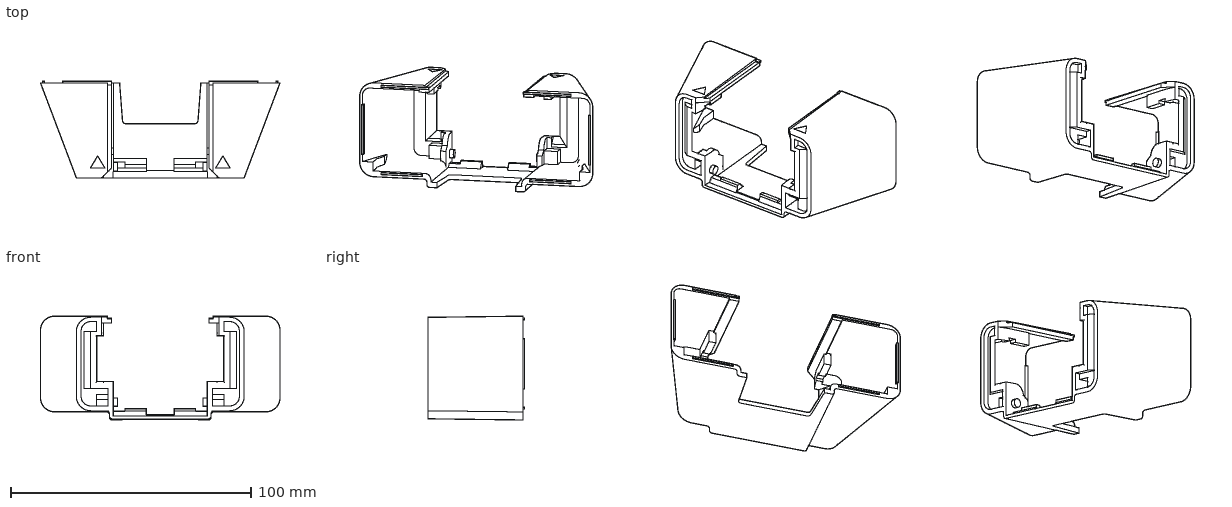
import cadquery as cq


length = 99.9
depth = 40.4
height = 43.3
tongue_length = 0.7
body_depth = depth - tongue_length

front_half_width = 35.0
back_half_width = length / 2
draft = 0.5
side_wall = 1.2
corner_radius = 6.0
inner_radius = 3.2
wing_bottom = 3.9
wing_top = height - draft
wing_floor = 5.9
wing_ceiling = 41.1

roof_edge = 22.0
lip_edge = 20.3
lip_top = 42.1
lip_bottom = 40.4
lip_root = 24.5
roof_chamfer = 4.2

plate_edge = 19.5
plate_top = 2.3
front_plate_top = 1.8
plate_step = 3.2
floor_edge_radius = 2.5
step_outer = 21.2
step_radius = 1.1
base_radius = 1.2

panel_thickness = 3.9
upper_jamb = 24.5
middle_jamb = 26.4
upper_jamb_bottom = 35.1
sill_top = 16.1

recess_depth = 2.4
rim_width = 2.0
recess_upper_edge = 26.6
recess_upper_bottom = 37.0
recess_lower_edge = 21.8
recess_lower_top = 13.1
rail_front_edge = 29.0
rail_back_edge = 31.9


def tapered(draw_section):
    """Solid between a section at the front edge and a wider one at the joint edge."""
    front = draw_section(cq.Workplane("XZ"), front_half_width, 0).wires().val()
    back_plane = cq.Workplane("XZ", origin=(0, body_depth, 0))
    back = draw_section(back_plane, back_half_width, draft).wires().val()
    return cq.Workplane(cq.Solid.makeLoft([front, back], True))


def sheet_section(plane, half_width, growth):
    """Bent sheet: base plate, step, floor, side wall and roof of the right half."""
    bottom = wing_bottom - growth
    top = wing_top + growth
    base = draft - growth
    inner = half_width - side_wall
    bend = half_width - corner_radius
    inner_bend = inner - inner_radius
    return (
        plane.moveTo(0, base)
        .lineTo(step_outer - base_radius, base)
        .radiusArc((step_outer, base + base_radius), -base_radius)
        .lineTo(step_outer, bottom - step_radius)
        .radiusArc((step_outer + step_radius, bottom), step_radius)
        .lineTo(bend, bottom)
        .radiusArc((half_width, bottom + corner_radius), -corner_radius)
        .lineTo(half_width, top - corner_radius)
        .radiusArc((bend, top), -corner_radius)
        .lineTo(roof_edge, top)
        .lineTo(roof_edge, lip_top)
        .lineTo(lip_edge, lip_top)
        .lineTo(lip_edge, lip_bottom)
        .lineTo(lip_root, lip_bottom)
        .lineTo(lip_root, wing_ceiling)
        .lineTo(inner_bend, wing_ceiling)
        .radiusArc((inner, wing_ceiling - inner_radius), inner_radius)
        .lineTo(inner, wing_floor + inner_radius)
        .radiusArc((inner_bend, wing_floor), inner_radius)
        .lineTo(plate_edge + floor_edge_radius, wing_floor)
        .radiusArc((plate_edge, wing_floor - floor_edge_radius), -floor_edge_radius)
        .lineTo(plate_edge, plate_top)
        .lineTo(0, plate_top)
        .close()
    )


def sleeve_section(plane, edge, bottom, top, radius):
    """Rectangle from the base plate edge to a side wall face, with both wall corners rounded."""
    return (
        plane.moveTo(plate_edge, bottom)
        .lineTo(edge - radius, bottom)
        .radiusArc((edge, bottom + radius), -radius)
        .lineTo(edge, top - radius)
        .radiusArc((edge - radius, top), -radius)
        .lineTo(plate_edge, top)
        .close()
    )


def sleeve_middle(plane, half_width, growth):
    """Section that ends halfway through the sheet thickness."""
    inset = side_wall / 2
    return sleeve_section(
        plane, half_width - inset, wing_bottom + inset, wing_top - inset, corner_radius - inset
    )


def block(x_range, y_range, z_range):
    """Box given by its limits along X, Y and Z."""
    (x0, x1), (y0, y1), (z0, z1) = x_range, y_range, z_range
    return cq.Workplane(cq.Solid.makeBox(x1 - x0, y1 - y0, z1 - z0, cq.Vector(x0, y0, z0)))


def front_outline(points, thickness):
    """Outline in X and Z, extruded back from the front edge."""
    return cq.Workplane("XZ").polyline(points).close().extrude(-thickness)


def plan_outline(points, bottom, top):
    """Outline in X and Y, extruded between two heights."""
    return cq.Workplane("XY", origin=(0, 0, bottom)).polyline(points).close().extrude(top - bottom)


def side_outline(points, x_start, x_end):
    """Outline in Y and Z, extruded between two places along X."""
    plane = cq.Workplane("YZ", origin=(x_start, 0, 0))
    return plane.polyline(points).close().extrude(x_end - x_start)


def front_panel():
    """Panel with a recess that leaves a rail along its middle."""
    far = back_half_width
    panel = front_outline(
        [
            (far, wing_bottom), (plate_edge, wing_bottom), (plate_edge, sill_top),
            (middle_jamb, sill_top), (middle_jamb, upper_jamb_bottom),
            (upper_jamb, upper_jamb_bottom), (upper_jamb, wing_top), (far, wing_top),
        ],
        panel_thickness,
    ).intersect(tapered(sleeve_middle))
    recess = front_outline(
        [
            (far, wing_floor), (recess_lower_edge, wing_floor),
            (recess_lower_edge, recess_lower_top), (rail_front_edge, recess_lower_top),
            (rail_front_edge, recess_upper_bottom), (recess_upper_edge, recess_upper_bottom),
            (recess_upper_edge, wing_ceiling), (far, wing_ceiling),
        ],
        recess_depth,
    )
    recess_limit = sleeve_section(
        cq.Workplane("XZ"),
        front_half_width - rim_width,
        wing_floor,
        wing_ceiling,
        corner_radius - rim_width,
    ).extrude(-recess_depth)
    bulge = 0.55
    rail_round = (
        cq.Workplane("XY", origin=(0, 0, recess_lower_top))
        .moveTo(rail_front_edge, 0)
        .threePointArc(
            (
                rail_front_edge + bulge * (rail_back_edge - rail_front_edge),
                (1 - bulge) * recess_depth,
            ),
            (rail_back_edge, recess_depth),
        )
        .lineTo(rail_front_edge, recess_depth)
        .close()
        .extrude(recess_upper_bottom - recess_lower_top)
    )
    return panel.cut(recess.intersect(recess_limit).cut(rail_round)).cut(window_flare())


def window_flare():
    """Bevels at 45 degrees that thin the panel behind its window, along the rail and the sill."""
    sill_bevel_start = 23.6
    far_edge = middle_jamb + panel_thickness
    sill_foot = sill_top - panel_thickness
    rail_bevel = plan_outline(
        [(middle_jamb, 0), (far_edge, panel_thickness), (middle_jamb, panel_thickness)],
        sill_foot,
        upper_jamb_bottom,
    )
    sill_bevel = side_outline(
        [(0, sill_top), (panel_thickness, sill_top), (panel_thickness, sill_foot)],
        sill_bevel_start,
        far_edge,
    )
    below_sill = block((middle_jamb, far_edge), (0, panel_thickness), (sill_foot, sill_top))
    corner_bevel = rail_bevel.intersect(below_sill).intersect(sill_bevel)
    rail_side = rail_bevel.cut(below_sill)
    sill_side = sill_bevel.cut(below_sill)
    return rail_side.union(sill_side).union(corner_bevel)


def upper_jamb_guides():
    """Slant-sided guide at the upper jamb, then a shallower bridge and a second guide."""
    guide_end = 5.6
    guide_edge = 23.6
    bridge_bottom = 36.4
    second_start = 9.2
    second_end = 17.0
    first = plan_outline(
        [
            (recess_upper_edge, recess_depth), (recess_upper_edge, guide_end),
            (guide_edge, guide_end), (upper_jamb, 0),
        ],
        upper_jamb_bottom,
        wing_ceiling,
    )
    x_range = (guide_edge, recess_upper_edge)
    bridge = block(x_range, (guide_end, second_start), (bridge_bottom, wing_ceiling))
    second = block(x_range, (second_start, second_end), (upper_jamb_bottom, wing_ceiling))
    return first.union(bridge).union(second)


def hinge_cheek():
    """Upright wall beside the base plate, with a stepped rear edge and a round pin."""
    shoulder = 6.0
    arc_foot = (9.9, 11.9)
    arc_middle = (8.6, 14.6)
    rear = 12.6
    rear_top = 10.0
    cheek = (
        cq.Workplane("YZ", origin=(plate_edge, 0, 0))
        .moveTo(0, plate_top)
        .lineTo(0, sill_top)
        .lineTo(shoulder, sill_top)
        .threePointArc(arc_middle, arc_foot)
        .lineTo(rear, rear_top)
        .lineTo(rear, plate_top)
        .close()
        .extrude(recess_lower_edge - plate_edge)
    )
    step_clearance = block((step_outer, length), (0, rear), (0, wing_bottom))
    pin_y = 4.7
    pin_z = 7.5
    pin_radius = 1.8
    pin_length = 1.7
    pin = (
        cq.Workplane("YZ", origin=(plate_edge, pin_y, pin_z))
        .circle(pin_radius)
        .extrude(-pin_length)
    )
    return cheek.cut(step_clearance).union(pin)


def cheek_relief():
    """Thin wedge that draws the front of the cheek back from the base plate."""
    setback = 0.3
    wedge = [(plate_edge, 0), (plate_edge + setback, 0), (plate_edge, panel_thickness)]
    return plan_outline(wedge, front_plate_top, sill_top)


def latch_housing():
    """Block behind the lower recess."""
    outer_edge = 27.5
    rear = 9.2
    housing_top = 11.5
    x_range = (recess_lower_edge, outer_edge)
    return block(x_range, (recess_depth, rear), (wing_floor, housing_top))


def latch_pocket():
    """Pocket with a flat floor and a half-round bar across its rear wall."""
    rear = 8.0
    bar_bottom = 8.6
    pocket_top = 10.7
    bar_radius = (pocket_top - bar_bottom) / 2
    return (
        cq.Workplane("YZ", origin=(recess_lower_edge, 0, 0))
        .moveTo(recess_depth, wing_floor)
        .lineTo(rear, wing_floor)
        .lineTo(rear, bar_bottom)
        .threePointArc((rear - bar_radius, bar_bottom + bar_radius), (rear, pocket_top))
        .lineTo(recess_depth, pocket_top)
        .close()
        .extrude(recess_upper_edge - recess_lower_edge)
    )


def side_ledge():
    """Ledge inside the side wall, with a waist along its inner edge."""
    ledge_top = 9.7
    ledge_front = 22.8
    inner_rear = 44.2
    waist_start = (44.1, 32.7)
    waist_end = (42.3, 27.2)
    ledge = plan_outline(
        [
            (inner_rear, body_depth), waist_start, waist_end, (waist_end[0], ledge_front),
            (back_half_width, ledge_front), (back_half_width, body_depth),
        ],
        wing_bottom,
        ledge_top,
    )
    return ledge.intersect(tapered(sleeve_middle))


def plate_latch():
    """Raised stop on the base plate with a ridge that slopes down to the rear."""
    inner_end = 5.8
    ridge_end = 14.8
    stop_foot = 2.8
    stop_rear = 6.7
    ridge_front = 4.1
    ridge_peak = 5.7
    rear = 8.1
    stop_top = 3.7
    ridge_top = 4.8
    stop = side_outline(
        [
            (stop_foot, front_plate_top), (ridge_front, stop_top), (stop_rear, stop_top),
            (rear, plate_top), (rear, front_plate_top),
        ],
        inner_end,
        plate_edge,
    )
    ridge = side_outline(
        [
            (ridge_front, stop_top), (ridge_front, ridge_top),
            (ridge_peak, ridge_top), (stop_rear, stop_top),
        ],
        inner_end,
        ridge_end,
    )
    return stop.union(ridge)


def joint_tongues():
    """Thin tongues along the joint edge of the roof, floor and side wall."""
    thickness = 0.8
    root = 1.0
    outer_end = 40.7
    roof_z = 41.7
    floor_z = 4.6
    floor_inner_end = 23.0
    side_x = 48.1
    side_z_range = (12.9, 34.0)
    y_range = (body_depth - root, depth)
    roof = block((lip_edge, outer_end), y_range, (roof_z, roof_z + thickness))
    floor = block((floor_inner_end, outer_end), y_range, (floor_z, floor_z + thickness))
    side = block((side_x, side_x + thickness), y_range, side_z_range)
    return roof.union(floor).union(side)


def arrow_mark():
    """Shallow triangle in the roof, pointing to the joint edge."""
    center = 26.1
    half_width = 3.0
    base_y = 4.2
    tip_y = 9.2
    triangle = [(center - half_width, base_y), (center + half_width, base_y), (center, tip_y)]
    return plan_outline(triangle, wing_top, height)


def roof_corner():
    """Front corner of the roof lip that is cut off at 45 degrees."""
    return plan_outline(
        [(lip_edge, 0), (lip_edge + roof_chamfer, 0), (lip_edge, roof_chamfer)],
        lip_bottom,
        height,
    )


def plate_notch():
    """Rounded opening in the joint edge of the base plate, on both halves."""
    mouth = 16.9
    root = 15.6
    root_y = 22.7
    radius = 1.3
    outline = [(-mouth, body_depth), (-root, root_y), (root, root_y), (mouth, body_depth)]
    notch = plan_outline(outline, 0, plate_top)
    return notch.edges("|Z and <Y").fillet(radius)


half = tapered(sheet_section)
half = half.cut(block((0, plate_edge), (0, plate_step), (front_plate_top, plate_top)))
half = half.union(front_panel()).union(upper_jamb_guides()).union(hinge_cheek())
half = half.union(latch_housing()).cut(latch_pocket())
half = half.union(side_ledge()).union(plate_latch()).union(joint_tongues())
half = half.cut(arrow_mark()).cut(roof_corner()).cut(cheek_relief())

result = half.union(half.mirror("YZ")).cut(plate_notch())